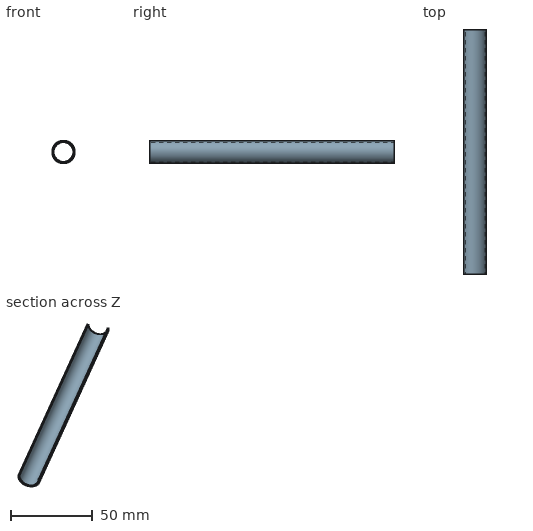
import cadquery as cq

OUTER_DIAMETER = 14.0
WALL_THICKNESS = 1.0
LENGTH = 150.0

INNER_DIAMETER = OUTER_DIAMETER - 2 * WALL_THICKNESS


def make_tube():
    """Ring section on the +Y end face, extruded toward -Y, centred on the origin."""
    return (
        cq.Workplane("XZ", origin=(0, LENGTH / 2, 0))
        .circle(OUTER_DIAMETER / 2)
        .circle(INNER_DIAMETER / 2)
        .extrude(LENGTH)
    )


result = make_tube()